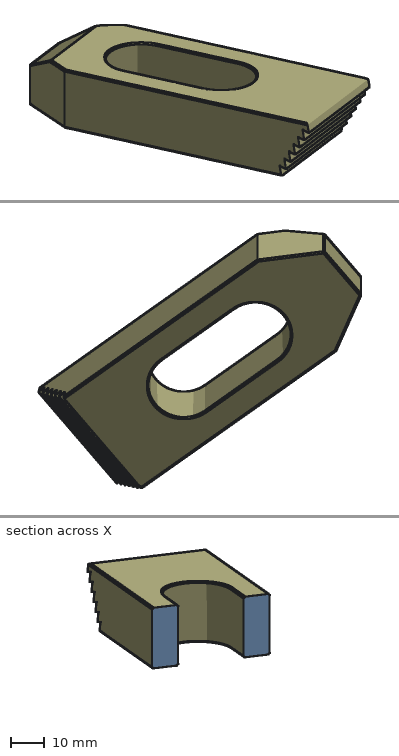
import cadquery as cq
import math

length = 100.0
width = 38.0
height = 19.0
edge_break = 0.5
nose_edge_break = 0.35
back_edge_radius = 1.0

taper_angle = math.radians(30)
nose_width = 18.0
nose_height = 13.0
side_taper_length = (width - nose_width) / 2 / math.tan(taper_angle)
top_taper_length = (height - nose_height) / math.tan(taper_angle)

slot_length = 48.0
slot_width = 21.0
slot_center_x = 46.5

tooth_count = 6
tooth_pitch = 3.1
back_angle = math.radians(60)
underside_tilt = math.radians(15)
face_tilt = math.radians(10)
first_tip_z = 16.1
tip_step_x = tooth_pitch * math.cos(back_angle)
tip_step_z = tooth_pitch * math.sin(back_angle)

underside_length = tooth_pitch * math.cos(back_angle - face_tilt) / math.cos(underside_tilt + face_tilt)
root_dx = underside_length * math.cos(underside_tilt)
root_dz = underside_length * math.sin(underside_tilt)


def back_outline():
    """Points of the serrated back from the top edge down to the base."""
    top_x = length - (height - first_tip_z) * math.tan(face_tilt)
    points = [(top_x, height)]
    for tooth in range(tooth_count):
        tip_x = length - tooth * tip_step_x
        tip_z = first_tip_z - tooth * tip_step_z
        root_x = tip_x - root_dx
        root_z = tip_z + root_dz
        points += [(tip_x, tip_z), (root_x, root_z)]
    points.append((root_x + root_z * math.tan(face_tilt), 0))
    return points


def tapered_blank():
    """Bar with the nose tapered in plan and on top, and a square back."""
    plan = [
        (0, -nose_width / 2),
        (side_taper_length, -width / 2),
        (length, -width / 2),
        (length, width / 2),
        (side_taper_length, width / 2),
        (0, nose_width / 2),
    ]
    blank = cq.Workplane("XY").polyline(plan).close().extrude(height)
    top_wedge = (
        cq.Workplane("XZ")
        .polyline([(0, nose_height), (top_taper_length, height), (0, height)])
        .close()
        .extrude(width / 2, both=True)
    )
    return blank.cut(top_wedge)


def break_edges(blank):
    """Chamfer the top and base outlines, and more lightly the edges of the nose."""
    nose_box = cq.selectors.BoxSelector(
        (-edge_break, -width, edge_break),
        (top_taper_length - edge_break, width, height),
    )
    body = blank.edges(nose_box).chamfer(nose_edge_break)
    nose_base = body.faces("<Z").edges("<X")
    outline = body.faces("<Z or >Z").edges().edges("not |Y").add(nose_base)
    return outline.chamfer(edge_break)


def serrate_back(body):
    """Trim the square back to the serrated outline, rounded at the top edge."""
    profile = [(0, 0), (0, height)] + back_outline()
    keep = cq.Workplane("XZ").polyline(profile).close().extrude(width / 2, both=True)
    keep = keep.faces(">Z").edges(">X").fillet(back_edge_radius)
    return body.intersect(keep)


def cut_slot(body):
    """Cut the through slot and chamfer its rim on both faces."""
    slot = (
        cq.Workplane("XY")
        .center(slot_center_x, 0)
        .slot2D(slot_length, slot_width)
        .extrude(height)
    )
    return body.cut(slot).faces("<Z or >Z").edges("%CIRCLE").chamfer(edge_break)


result = cut_slot(serrate_back(break_edges(tapered_blank())))